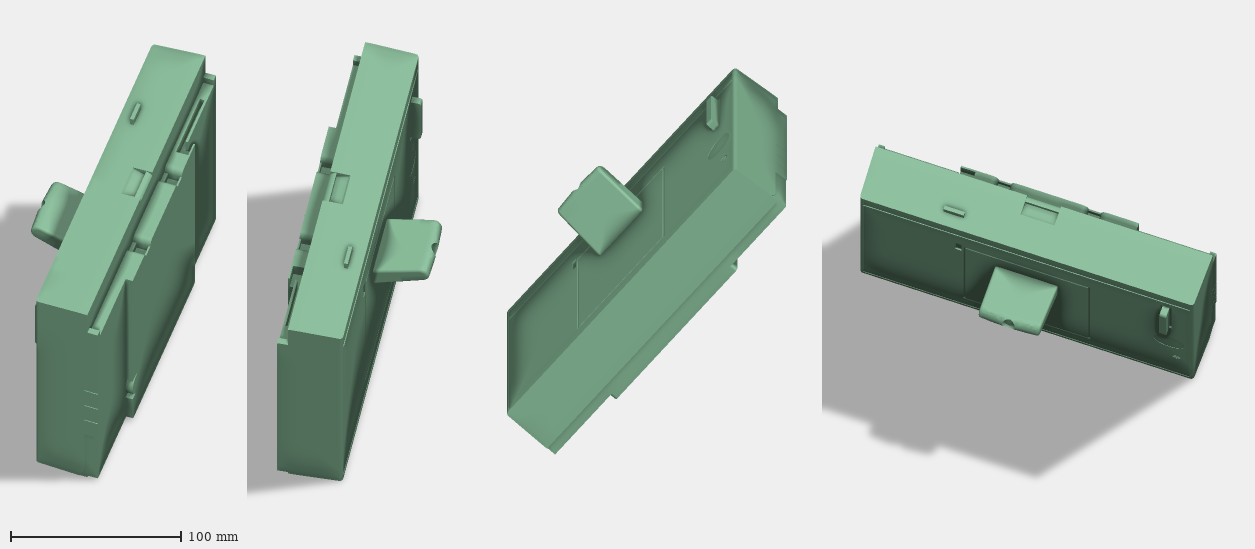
import cadquery as cq
import math

WIDTH = 209.5
HEIGHT = 150.5
TOTAL_HEIGHT = 154.5
LIP_X = 27.5
COVER_BACK_X = 32.7
FRONT_DRAFT = 1.3
SIDE_EDGE_RADIUS = 2.0

BASE_BACK_X = 39.2
BASE_BOTTOM_Z = 1.5
SIDE_WALL_TOP_Z = 134.5
BASE_TOP_Z = 129.7
SIDE_WALL = 4.0
PLATE_BACK_X = 43.5
PLATE_WIDTH = 110.2
PLATE_BOTTOM_RADIUS = 1.9
FOOT_RADIUS = 7.5
FOOT_Z = 27.7
FOOT_NOTCH_TOP_Z = 36.7

SLOT_FRONT_X = 35.0
SLOT_BACK_X = 42.5
SLOT_SIDE_BACK_X = 37.7
SLOT_DEPTH = 8.4
TERMINAL_Y = 27.9
TERMINAL_GAP = 8.0
TERMINAL_LIP = 4.0
CORNER_SLOT_START_Y = 45.9
CORNER_SLOT_END_Y = 88.5

FACE_WIDTH = 202.5
FACE_BOTTOM_Z = 3.1
FACE_TOP_Z = 147.1
LABEL_BOTTOM_Z = 136.8
PANEL_TOP_Z = 135.0
FACE_RECESS = 0.5
WINDOW_WIDTH = 79.2
WINDOW_BOTTOM_Z = 13.8
WINDOW_TOP_Z = 116.7
GROOVE_WIDTH = 1.9
GROOVE_BOTTOM_WIDTH = 1.0
GROOVE_DEPTH = 0.8
INDICATOR_Y = 42.3
INDICATOR_WIDTH = 3.8
INDICATOR_BOTTOM_Z = 108.0
INDICATOR_TOP_Z = 119.5
INDICATOR_DEPTH = 1.0
INDICATOR_SLOPE = 1.3
SEAL_Y = -88.2
SEAL_Z = 60.0
SEAL_RADIUS = 9.6
SEAL_DEPTH = 0.2
SCREW_Y = -93.0
SCREW_Z = 33.7
SCREW_RADIUS = 2.5
SCREW_RING = 0.6
SCREW_DEPTH = 1.3
SCREW_SLOT = 0.8

BAR_Y = -86.3
BAR_WIDTH = 4.2
BAR_BOTTOM_Z = 90.1
BAR_TOP_Z = 126.8
BAR_REACH = 5.5
BAR_CORNER_RADIUS = 1.9
BAR_RECESS_WIDTH = 7.1
BAR_RECESS_MARGIN = 1.7
BAR_RECESS_DEPTH = 1.3

TAB_X = 9.0
TAB_Y = 47.8
TAB_THICKNESS = 2.3
TAB_LENGTH = 12.5

LATCH_WIDTH = 21.0
LATCH_FRONT_X = 20.1
LATCH_RAMP_X = 21.5
LATCH_WALL_X = 29.0
LATCH_FRONT_DEPTH = 1.5
LATCH_DEPTH = 3.8
LATCH_HUMP_DROP = 0.6
LATCH_HUMP_MID_DROP = 1.3
LATCH_HUMP_BACK_DROP = 3.1

VENT_FRONT_X = 30.8
VENT_LEVELS = (52.8, 66.2, 80.0)
VENT_HEIGHT = 0.6
VENT_DEPTH = 1.0
SIDE_PANEL_TOP_Z = 39.6
SIDE_PANEL_DEPTH = 0.6
SIDE_CORNER_X = 27.9
SIDE_CORNER_Z = 6.3

TIP_X = -28.7
TIP_Z = 103.0
TIP_RADIUS = 5.0
HANDLE_TOP_SLOPE = 17.3
HANDLE_BOTTOM_SLOPE = 22.0
HANDLE_ROOT_X = 2.0
HANDLE_TIP_WIDTH = 37.7
HANDLE_ROOT_WIDTH = 39.5
HANDLE_TIP_BULGE = 1.0
NOSE_RADIUS = 4.6
HANDLE_EDGE_RADIUS = 1.7
THUMB_HOLE_RADIUS = 4.0
THUMB_HOLE_DEPTH = 3.4


def block(x_range, y_range, z_range):
    """Box between the given limits along each axis."""
    (x0, x1), (y0, y1), (z0, z1) = x_range, y_range, z_range
    return cq.Workplane("XY").box(x1 - x0, y1 - y0, z1 - z0, centered=False).translate((x0, y0, z0))


def centered_span(middle, length):
    return (middle - length / 2, middle + length / 2)


def side_profile(points, width, middle_y=0.0):
    """Prism with an XZ outline, centred on the given Y."""
    prism = cq.Workplane("XZ").polyline(points).close().extrude(width / 2, both=True)
    return prism.translate((0, middle_y, 0))


def face_disc(y, z, radius, depth):
    """Disc sunk from the front face to the given depth."""
    return cq.Workplane("YZ").center(y, z).circle(radius).extrude(depth)


def drafted_width():
    """Plan outline whose sides spread slightly from the front face to the back of the base."""
    half = WIDTH / 2
    outline = [
        (0, -half + FRONT_DRAFT),
        (BASE_BACK_X, -half),
        (BASE_BACK_X, half),
        (0, half - FRONT_DRAFT),
    ]
    prism = cq.Workplane("XY").polyline(outline).close().extrude(HEIGHT)
    return prism.edges("<X and |Z").fillet(SIDE_EDGE_RADIUS)


def make_housing():
    cover = side_profile(
        [
            (0, FRONT_DRAFT / 2),
            (LIP_X, 0),
            (COVER_BACK_X, 0),
            (COVER_BACK_X, HEIGHT),
            (LIP_X, HEIGHT),
            (0, HEIGHT - FRONT_DRAFT),
        ],
        WIDTH,
    )
    return cover.union(base_walls()).intersect(drafted_width())


def base_walls():
    outer = (-WIDTH / 2, WIDTH / 2)
    inner = (-WIDTH / 2 + SIDE_WALL, WIDTH / 2 - SIDE_WALL)
    walls = block((COVER_BACK_X, BASE_BACK_X), outer, (BASE_BOTTOM_Z, SIDE_WALL_TOP_Z))
    return walls.cut(block((COVER_BACK_X, BASE_BACK_X), inner, (BASE_TOP_Z, SIDE_WALL_TOP_Z)))


def make_back_plate():
    plate_side = -PLATE_WIDTH / 2
    plate = block((BASE_BACK_X, PLATE_BACK_X), (plate_side, -plate_side), (BASE_BOTTOM_Z, BASE_TOP_Z))
    plate = plate.edges("<Z and |X").fillet(PLATE_BOTTOM_RADIUS)

    foot_y = plate_side + FOOT_RADIUS
    notch = block(
        (BASE_BACK_X, PLATE_BACK_X),
        (plate_side, foot_y),
        (FOOT_Z - FOOT_RADIUS, FOOT_NOTCH_TOP_Z),
    )
    foot = (
        cq.Workplane("YZ", origin=(BASE_BACK_X, 0, 0))
        .center(foot_y, FOOT_Z)
        .circle(FOOT_RADIUS)
        .extrude(PLATE_BACK_X - BASE_BACK_X)
    )
    return plate.cut(notch).union(foot)


def terminal_slot(middle_y):
    """Slot in the top of the base whose two lips are rounded over."""
    half_gap = TERMINAL_GAP / 2
    half_mouth = half_gap + TERMINAL_LIP
    lip_bottom = BASE_TOP_Z - TERMINAL_LIP
    arc_inset = TERMINAL_LIP * (1 - math.sqrt(0.5))
    mouth = (
        cq.Workplane("YZ", origin=(COVER_BACK_X, middle_y, 0))
        .moveTo(-half_mouth, BASE_TOP_Z)
        .threePointArc((-half_gap - arc_inset, BASE_TOP_Z - arc_inset), (-half_gap, lip_bottom))
        .lineTo(half_gap, lip_bottom)
        .threePointArc((half_gap + arc_inset, BASE_TOP_Z - arc_inset), (half_mouth, BASE_TOP_Z))
        .close()
        .extrude(PLATE_BACK_X - COVER_BACK_X)
    )
    well = block(
        (SLOT_FRONT_X, SLOT_BACK_X),
        centered_span(middle_y, TERMINAL_GAP),
        (BASE_TOP_Z - SLOT_DEPTH, BASE_TOP_Z),
    )
    return mouth.union(well)


def corner_slot():
    depth = (BASE_TOP_Z - SLOT_DEPTH, BASE_TOP_Z)
    wide = block((SLOT_FRONT_X, SLOT_BACK_X), (CORNER_SLOT_START_Y, PLATE_WIDTH / 2), depth)
    narrow = block((SLOT_FRONT_X, SLOT_SIDE_BACK_X), (CORNER_SLOT_START_Y, CORNER_SLOT_END_Y), depth)
    return wide.union(narrow)


def face_recesses():
    across = centered_span(0, FACE_WIDTH)
    depth = (0, FACE_RECESS)
    label = block(depth, across, (LABEL_BOTTOM_Z, FACE_TOP_Z))
    return label.union(block(depth, across, (FACE_BOTTOM_Z, PANEL_TOP_Z)))


def window_groove():
    """V-shaped groove around the window in the panel, narrower along the bottom."""
    height = WINDOW_TOP_Z - WINDOW_BOTTOM_Z
    middle_z = WINDOW_BOTTOM_Z + height / 2
    flank = math.degrees(math.atan(GROOVE_WIDTH / 2 / GROOVE_DEPTH))
    plane = cq.Workplane("YZ", origin=(FACE_RECESS, 0, middle_z))
    outer = plane.rect(WINDOW_WIDTH, height).extrude(GROOVE_DEPTH, taper=flank)
    inner = (
        plane.center(0, (GROOVE_BOTTOM_WIDTH - GROOVE_WIDTH) / 2)
        .rect(WINDOW_WIDTH - 2 * GROOVE_WIDTH, height - GROOVE_WIDTH - GROOVE_BOTTOM_WIDTH)
        .extrude(GROOVE_DEPTH, taper=-flank)
    )
    return outer.cut(inner)


def indicator_pocket():
    bottom_x = FACE_RECESS + INDICATOR_DEPTH
    outline = [
        (0, INDICATOR_BOTTOM_Z),
        (bottom_x, INDICATOR_BOTTOM_Z),
        (bottom_x, INDICATOR_TOP_Z - INDICATOR_SLOPE),
        (FACE_RECESS, INDICATOR_TOP_Z),
        (0, INDICATOR_TOP_Z),
    ]
    return side_profile(outline, INDICATOR_WIDTH, INDICATOR_Y)


def screw_recess():
    """Ring around the screw head, with a straight driver slot across the head."""
    depth = FACE_RECESS + SCREW_DEPTH
    head_radius = SCREW_RADIUS - SCREW_RING
    ring = face_disc(SCREW_Y, SCREW_Z, SCREW_RADIUS, depth).cut(
        face_disc(SCREW_Y, SCREW_Z, head_radius, depth)
    )
    slot = block(
        (0, depth),
        centered_span(SCREW_Y, 2 * head_radius),
        centered_span(SCREW_Z, SCREW_SLOT),
    )
    return ring.union(slot)


def bar_recess():
    return block(
        (0, FACE_RECESS + BAR_RECESS_DEPTH),
        centered_span(BAR_Y, BAR_RECESS_WIDTH),
        (BAR_BOTTOM_Z - BAR_RECESS_MARGIN, BAR_TOP_Z + BAR_RECESS_MARGIN),
    )


def slide_bar():
    bar = block(
        (-BAR_REACH, FACE_RECESS + BAR_RECESS_DEPTH),
        centered_span(BAR_Y, BAR_WIDTH),
        (BAR_BOTTOM_Z, BAR_TOP_Z),
    )
    return bar.edges("<X and |Y").fillet(BAR_CORNER_RADIUS)


def top_tab():
    return block(
        centered_span(TAB_X, TAB_THICKNESS),
        centered_span(TAB_Y, TAB_LENGTH),
        (HEIGHT - 2 * FRONT_DRAFT, TOTAL_HEIGHT),
    )


def latch_pocket():
    """Ramped finger pocket that ends at a wall with a rounded hump behind it."""
    hump_mid_x = (LATCH_WALL_X + COVER_BACK_X) / 2
    outline = (
        cq.Workplane("XZ")
        .moveTo(LATCH_FRONT_X, HEIGHT)
        .lineTo(LATCH_RAMP_X, HEIGHT - LATCH_FRONT_DEPTH)
        .lineTo(LIP_X, HEIGHT - LATCH_DEPTH)
        .lineTo(LATCH_WALL_X, HEIGHT - LATCH_DEPTH)
        .lineTo(LATCH_WALL_X, HEIGHT - LATCH_HUMP_DROP)
        .threePointArc(
            (hump_mid_x, HEIGHT - LATCH_HUMP_MID_DROP),
            (COVER_BACK_X, HEIGHT - LATCH_HUMP_BACK_DROP),
        )
        .lineTo(COVER_BACK_X, HEIGHT)
        .close()
    )
    return outline.extrude(LATCH_WIDTH / 2, both=True)


def side_cuts():
    """Vents and the sunken lower corner panel on the -Y side."""
    side = -WIDTH / 2
    cuts = block((VENT_FRONT_X, BASE_BACK_X), (side, side + SIDE_PANEL_DEPTH), (0, SIDE_PANEL_TOP_Z))
    for level in VENT_LEVELS:
        vent = block(
            (VENT_FRONT_X, BASE_BACK_X),
            (side, side + VENT_DEPTH),
            centered_span(level, VENT_HEIGHT),
        )
        cuts = cuts.union(vent)
    corner = [(SIDE_CORNER_X, 0), (VENT_FRONT_X, 0), (VENT_FRONT_X, SIDE_CORNER_Z)]
    return cuts.union(side_profile(corner, 2 * SIDE_PANEL_DEPTH, side))


def make_handle():
    tilt = math.radians((HANDLE_TOP_SLOPE + HANDLE_BOTTOM_SLOPE) / 2)
    inward = cq.Vector(math.cos(tilt), 0, -math.sin(tilt))
    tip = cq.Vector(TIP_X, 0, TIP_Z)

    top_angle = math.radians(HANDLE_TOP_SLOPE)
    bottom_angle = math.radians(HANDLE_BOTTOM_SLOPE)
    top_at_tip = TIP_Z + TIP_RADIUS / math.cos(top_angle)
    bottom_at_tip = TIP_Z - TIP_RADIUS / math.cos(bottom_angle)

    def top_height(x):
        return top_at_tip - (x - TIP_X) * math.tan(top_angle)

    def bottom_height(x):
        return bottom_at_tip - (x - TIP_X) * math.tan(bottom_angle)

    outer_x = TIP_X - 2 * TIP_RADIUS
    wedge = side_profile(
        [
            (outer_x, bottom_height(outer_x)),
            (HANDLE_ROOT_X, bottom_height(HANDLE_ROOT_X)),
            (HANDLE_ROOT_X, top_height(HANDLE_ROOT_X)),
            (outer_x, top_height(outer_x)),
        ],
        HANDLE_ROOT_WIDTH,
    )

    upward = cq.Vector(math.sin(tilt), 0, math.cos(tilt))
    paddle_plane = cq.Plane(origin=tip, xDir=inward, normal=upward)
    root = (HANDLE_ROOT_X - TIP_X) / math.cos(tilt) + TIP_RADIUS
    corner = HANDLE_TIP_BULGE - TIP_RADIUS
    plan = (
        cq.Workplane(paddle_plane)
        .moveTo(root, -HANDLE_ROOT_WIDTH / 2)
        .lineTo(root, HANDLE_ROOT_WIDTH / 2)
        .lineTo(corner, HANDLE_TIP_WIDTH / 2)
        .threePointArc((-TIP_RADIUS, 0), (corner, -HANDLE_TIP_WIDTH / 2))
        .close()
        .extrude(4 * TIP_RADIUS, both=True)
    )
    handle = wedge.intersect(plan)

    nose_point = tip - inward * TIP_RADIUS
    nose = handle.faces(cq.selectors.NearestToPointSelector(nose_point.toTuple()))
    handle = nose.edges("not %LINE").fillet(NOSE_RADIUS)
    handle = handle.faces("<Y or >Y").edges("not >X").fillet(HANDLE_EDGE_RADIUS)

    bottom = tip - inward * (TIP_RADIUS - THUMB_HOLE_DEPTH)
    bore = cq.Solid.makeCylinder(THUMB_HOLE_RADIUS, TIP_RADIUS, bottom, inward * -1)
    return handle.cut(cq.Workplane(bore))


body = make_housing().union(make_back_plate())
face_cuts = [face_recesses(), window_groove(), indicator_pocket(), screw_recess(), bar_recess()]
seal = face_disc(SEAL_Y, SEAL_Z, SEAL_RADIUS, FACE_RECESS + SEAL_DEPTH)
for cut in face_cuts + [seal, latch_pocket(), side_cuts(), corner_slot()]:
    body = body.cut(cut)
for terminal_y in (-TERMINAL_Y, TERMINAL_Y):
    body = body.cut(terminal_slot(terminal_y))

result = body.union(slide_bar()).union(top_tab()).union(make_handle())